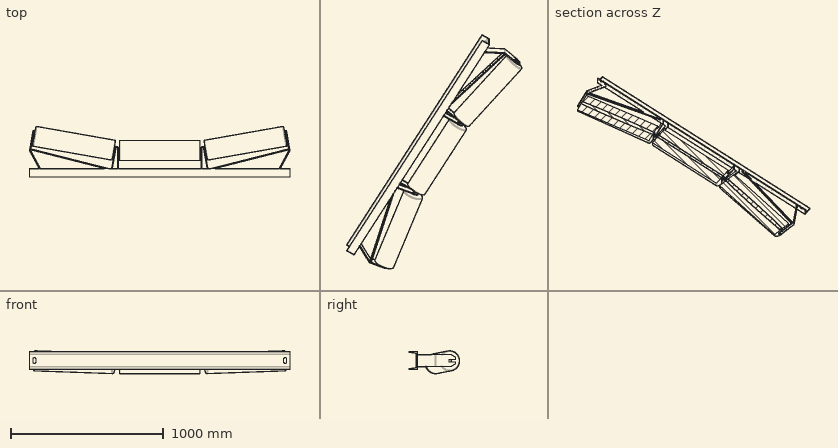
import cadquery as cq
import math

beam_length = 1705
beam_height = 120
beam_depth = 56.0
beam_mid_z = 87.0
web_thickness = 9.0
flange_tip = 7.0
flange_root = 12.0
root_radius = 9.0
toe_radius = 4.3
slot_width = 20.0
slot_height = 37.0
slot_x = 820.0

roller_diameter = 133.0
roller_length = 528
roller_edge_radius = 5.0
centre_axis_y = 174.0
wing_mid_x = 560.0
wing_mid_y = 222.0
wing_angle = 10
wing_lift = 2
axle_diameter = 22.0
axle_flats = 15.0
centre_axle_length = 550.0
wing_axle_length = 544.0

bracket_width = 77.0
end_thickness = 7.7
bend_radius = 10.0
bend_y = 174.0
plate_top_y = 303.0
plate_corner_y = 25.0
plate_corner_z = 17.0
post_foot_x = 789.0
brace_width = 55.0
brace_thickness = 7.0
brace_start_x = 845.0
brace_start_y = 185.0
brace_foot_x = 334.0
saddle_width = bracket_width
saddle_mid_z = 82.0
saddle_thickness = 6.0
saddle_inner_x = 270.0
saddle_outer_foot_x = 315.0
saddle_top_y = 200.0
saddle_radius = 10.0

roller_radius = roller_diameter / 2
centre_axis_z = roller_radius
wing_mid_z = centre_axis_z + roller_length / 2 * math.sin(math.radians(wing_lift))
lean = math.tan(math.radians(wing_angle))


def place_centre(body):
    return body.translate((0, centre_axis_y, centre_axis_z))


def place_right_wing(body):
    """Move a body from the origin onto the inclined axis of the +X wing roller."""
    lifted = body.rotate((0, 0, 0), (0, 1, 0), -wing_lift)
    swung = lifted.rotate((0, 0, 0), (0, 0, 1), wing_angle)
    return swung.translate((wing_mid_x, wing_mid_y, wing_mid_z))


def mirrored(body):
    return body.mirror("YZ")


def extruded(points, width, mid_z):
    """Plan outline extruded along Z, centred on mid_z."""
    flat = cq.Workplane("XY").workplane(offset=mid_z - width / 2)
    return flat.polyline(points).close().extrude(width)


def make_bar(outline, length):
    """Extrude an outline drawn in the YZ plane, centred on X = 0."""
    return outline.extrude(length).translate((-length / 2, 0, 0))


def make_spindle():
    return make_bar(cq.Workplane("YZ").circle(axle_diameter / 2), roller_length)


def make_roller():
    drum = make_bar(cq.Workplane("YZ").circle(roller_radius), roller_length)
    drum = drum.faces("|X").edges().fillet(roller_edge_radius)
    return drum.cut(make_spindle())


def make_axle(length):
    ends = make_bar(cq.Workplane("YZ").rect(axle_flats, axle_flats), length)
    return make_spindle().union(ends)


def make_axle_slot():
    """Cutter for the outer half, open toward +Y, that fits the square axle end."""
    depth = plate_top_y - bend_y
    cutter = cq.Workplane("XY").box(roller_length, depth, axle_flats)
    return cutter.translate((roller_length / 2, (depth - axle_flats) / 2, 0))


def make_beam():
    half = beam_height / 2
    web_y = beam_depth - web_thickness
    tip_z = half - flange_tip
    root_z = half - flange_root
    profile = [
        (0, -half), (beam_depth, -half), (beam_depth, half), (0, half),
        (0, tip_z), (web_y, root_z), (web_y, -root_z), (0, -tip_z),
    ]
    beam = make_bar(cq.Workplane("YZ").polyline(profile).close(), beam_length)

    def long_edges(y, z):
        """The two lengthwise edges at depth y, one on each flange."""
        near = [cq.selectors.NearestToPointSelector((0, y, side * z)) for side in (-1, 1)]
        return beam.edges("|X").edges(near[0] + near[1])

    beam = long_edges(web_y, root_z).fillet(root_radius)
    beam = long_edges(0, tip_z).fillet(toe_radius)
    slots = (
        cq.Workplane("XZ").pushPoints([(-slot_x, 0), (slot_x, 0)])
        .slot2D(slot_height, slot_width, 90).extrude(-beam_depth)
    )
    return beam.cut(slots).translate((0, 0, beam_mid_z))


def make_end_bracket():
    """Strip folded into a post and a leaning plate that carries the outer axle end."""
    corner_x = beam_length / 2
    plate_rise = plate_top_y - bend_y
    post_run = corner_x - post_foot_x
    post_rise = bend_y - beam_depth
    plate_across = end_thickness / math.cos(math.radians(wing_angle))
    post_across = end_thickness * math.hypot(post_run, post_rise) / post_rise
    plate_top_x = corner_x - plate_rise * lean
    inner_rise = (post_across - plate_across) / (post_run / post_rise + lean)
    inner_corner = (corner_x - plate_across - inner_rise * lean, bend_y + inner_rise)
    plan = [
        (post_foot_x, beam_depth), (corner_x, bend_y), (plate_top_x, plate_top_y),
        (plate_top_x - plate_across, plate_top_y), inner_corner,
        (post_foot_x - post_across, beam_depth),
    ]
    strip = extruded(plan, bracket_width, beam_mid_z)
    outer_bend = cq.selectors.NearestToPointSelector((corner_x, bend_y, beam_mid_z))
    strip = strip.edges("|Z").edges(outer_bend).fillet(bend_radius)
    inner_bend = cq.selectors.NearestToPointSelector((*inner_corner, beam_mid_z))
    strip = strip.edges("|Z").edges(inner_bend).fillet(bend_radius - end_thickness)

    half = bracket_width / 2
    tip = half - plate_corner_z
    shoulder_y = plate_top_y - plate_corner_y
    face = [
        (0, -half), (shoulder_y, -half), (plate_top_y, -tip),
        (plate_top_y, tip), (shoulder_y, half), (0, half),
    ]
    clipped = make_bar(cq.Workplane("YZ").polyline(face).close(), 2 * beam_length)
    strip = strip.intersect(clipped.translate((0, 0, beam_mid_z)))
    return strip.cut(place_right_wing(make_axle_slot()))


def make_brace():
    """Flat bar sloping from the end plate down to the back of the beam."""
    run = brace_start_x - brace_foot_x
    rise = brace_start_y - beam_depth
    across = brace_thickness * math.hypot(run, rise) / rise
    upright = brace_thickness * math.hypot(run, rise) / run
    plan = [
        (brace_start_x, brace_start_y), (brace_foot_x, beam_depth),
        (brace_foot_x + across, beam_depth), (brace_start_x, brace_start_y - upright),
    ]
    return extruded(plan, brace_width, beam_mid_z)


def make_saddle():
    """Folded bracket between two rollers: one upright leg and one leaning leg."""
    def wedge(inset, radius):
        top_y = saddle_top_y - inset
        outer_foot_x = saddle_outer_foot_x - inset
        plan = [
            (saddle_inner_x + inset, beam_depth), (outer_foot_x, beam_depth),
            (outer_foot_x - (top_y - beam_depth) * lean, top_y),
            (saddle_inner_x + inset, top_y),
        ]
        return extruded(plan, saddle_width, saddle_mid_z).edges("|Z and >Y").fillet(radius)

    return wedge(0, saddle_radius).cut(wedge(saddle_thickness, saddle_radius - saddle_thickness))


def make_frame(axle_set):
    """Welded frame, with the axle ends seated in matching holes."""
    side = make_end_bracket().union(make_brace()).union(make_saddle())
    frame = make_beam().union(side).union(mirrored(side))
    for axle in axle_set:
        frame = frame.cut(axle)
    return frame


wing_roller = place_right_wing(make_roller())
wing_axle = place_right_wing(make_axle(wing_axle_length))
rollers = [place_centre(make_roller()), wing_roller, mirrored(wing_roller)]
axles = [place_centre(make_axle(centre_axle_length)), wing_axle, mirrored(wing_axle)]
frame = make_frame(axles)

result = cq.Compound.makeCompound([body.val() for body in [frame, *rollers, *axles]])